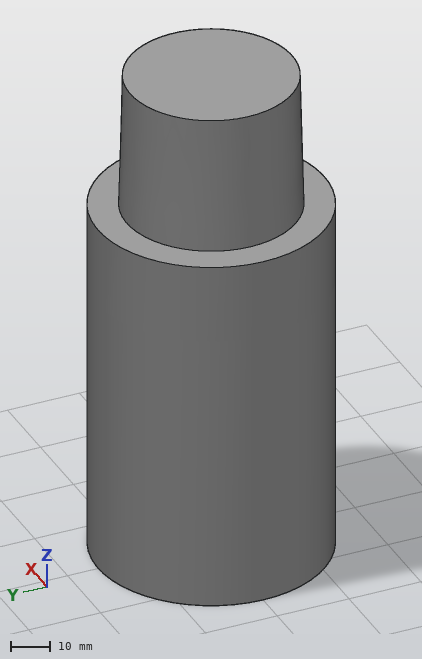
import cadquery as cq

body_diameter = 63.0
body_height = 78.0
collar_height = 22.0

spigot_height = 38.0
spigot_base_diameter = 47.0
spigot_taper = 1 / 20
spigot_top_diameter = spigot_base_diameter - spigot_height * spigot_taper

shoulder_z = body_height + collar_height
top_z = shoulder_z + spigot_height


def turned_profile():
    """Half section on the -X side of the axis, drawn in the XZ plane."""
    return (
        cq.Workplane("XZ")
        .lineTo(-body_diameter / 2, 0)
        .lineTo(-body_diameter / 2, body_height)
        .lineTo(-body_diameter / 2, shoulder_z)
        .lineTo(-spigot_base_diameter / 2, shoulder_z)
        .lineTo(-spigot_top_diameter / 2, top_z)
        .lineTo(0, top_z)
        .close()
    )


result = turned_profile().revolve(360, (0, 0, 0), (0, 1, 0), clean=False)